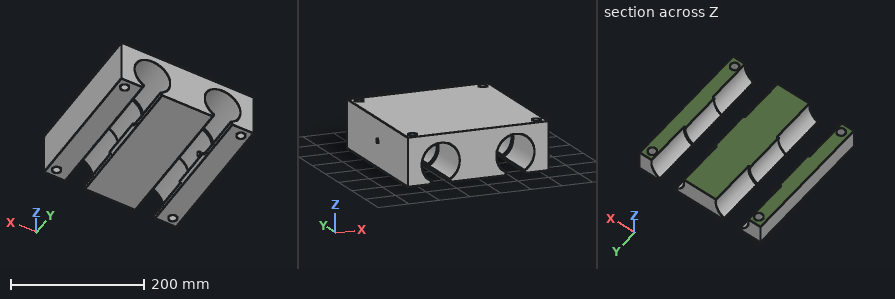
import cadquery as cq
import math

SIDE = 230.0
HEIGHT = 77.0

BORE_SPACING = 122.0
BORE_Z = 32.0
SEAT_DIAMETER = 62.0
COLLAR_DIAMETER = 56.0
SEAT_DEPTH = 80.0
COLLAR_LENGTH = SIDE - 2 * SEAT_DEPTH
OPENING_ANGLE = 56.0

MOUNT_DIAMETER = 13.5
MOUNT_EDGE_DISTANCE = 14.0
MOUNT_SPACING = SIDE - 2 * MOUNT_EDGE_DISTANCE

LUBE_DIAMETER = 6.92
LUBE_Z = 42.0


def cylinder_along_y(diameter, length, x):
    """Cylinder on a bore axis, centred on Y = 0."""
    profile = cq.Workplane("XZ").center(x, BORE_Z).circle(diameter / 2)
    return profile.extrude(length / 2, both=True)


def bottom_opening(x):
    """Full-length wedge whose sides are radial to the bore axis, down to the underside."""
    half_width = BORE_Z * math.tan(math.radians(OPENING_ANGLE / 2))
    corners = [(x, BORE_Z), (x - half_width, 0), (x + half_width, 0)]
    return cq.Workplane("XZ").polyline(corners).close().extrude(SIDE / 2, both=True)


def bearing_bore(x):
    """Through bore with a wider seat at each end and a slot open to the underside."""
    collar_bore = cylinder_along_y(COLLAR_DIAMETER, SIDE, x)
    seats = cylinder_along_y(SEAT_DIAMETER, SIDE, x).cut(
        cylinder_along_y(SEAT_DIAMETER, COLLAR_LENGTH, x)
    )
    return collar_bore.union(seats).union(bottom_opening(x))


def mounting_holes():
    """Four vertical through holes near the block corners."""
    centres = cq.Workplane("XY").rect(MOUNT_SPACING, MOUNT_SPACING, forConstruction=True)
    return centres.vertices().circle(MOUNT_DIAMETER / 2).extrude(HEIGHT)


def lubrication_hole():
    """Cross hole that runs from the -X face to the axis plane of the nearer bore."""
    depth = (SIDE - BORE_SPACING) / 2
    face = cq.Workplane("YZ", origin=(-SIDE / 2, 0, LUBE_Z))
    return face.circle(LUBE_DIAMETER / 2).extrude(depth)


block = cq.Workplane("XY").box(SIDE, SIDE, HEIGHT, centered=(True, True, False))
for bore_x in (-BORE_SPACING / 2, BORE_SPACING / 2):
    block = block.cut(bearing_bore(bore_x))
result = block.cut(mounting_holes()).cut(lubrication_hole())